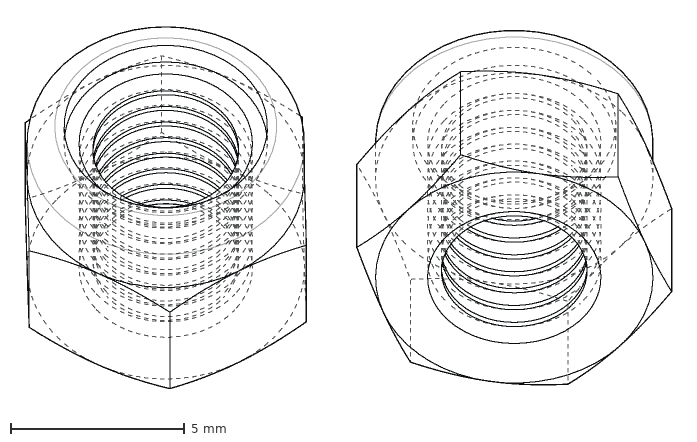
import cadquery as cq
import math

across_flats = 8.0
corner_radius = across_flats / math.sqrt(3)
hex_height = 4.4
corner_chamfer_angle = 30.0
cone_overrun = 0.2

total_height = 6.8
collar_radius = across_flats / 2
collar_edge_radius = 0.8

recess_radius = 2.93
recess_depth = 0.8

bore_radius = 2.1
thread_major_radius = 2.5
thread_count = 8
thread_height = total_height - recess_depth
thread_pitch = thread_height / thread_count
crest_width = thread_pitch / 4
flank_height = (thread_pitch - crest_width) / 2


def make_hex_body():
    """Hexagon with flats facing +X and -X, its corners cut by a cone at both ends."""
    prism = (
        cq.Workplane("XY")
        .polygon(6, 2 * corner_radius)
        .extrude(hex_height)
        .rotate((0, 0, 0), (0, 0, 1), 30)
    )
    envelope_radius = corner_radius + cone_overrun
    cone_drop = (envelope_radius - across_flats / 2) * math.tan(math.radians(corner_chamfer_angle))
    envelope = (
        cq.Workplane("XZ")
        .moveTo(0, 0)
        .lineTo(across_flats / 2, 0)
        .lineTo(envelope_radius, cone_drop)
        .lineTo(envelope_radius, hex_height - cone_drop)
        .lineTo(across_flats / 2, hex_height)
        .lineTo(0, hex_height)
        .close()
        .revolve(360, (0, 0), (0, 1))
    )
    return prism.intersect(envelope)


def make_collar():
    """Cylinder on top of the hexagon with a rounded upper rim."""
    return (
        cq.Workplane("XY")
        .workplane(offset=hex_height)
        .circle(collar_radius)
        .extrude(total_height - hex_height)
        .faces(">Z")
        .edges()
        .fillet(collar_edge_radius)
    )


def make_bore():
    """Solid of revolution to remove: threaded bore with the recess above it."""
    profile = cq.Workplane("XZ").moveTo(0, 0).lineTo(thread_major_radius, 0)
    for turn in range(thread_count):
        crest_start = turn * thread_pitch + flank_height
        crest_end = crest_start + crest_width
        profile = (
            profile.lineTo(bore_radius, crest_start)
            .lineTo(bore_radius, crest_end)
            .lineTo(thread_major_radius, crest_end + flank_height)
        )
    return (
        profile.lineTo(recess_radius, thread_height)
        .lineTo(recess_radius, total_height)
        .lineTo(0, total_height)
        .close()
        .revolve(360, (0, 0), (0, 1))
    )


result = make_hex_body().union(make_collar()).cut(make_bore())